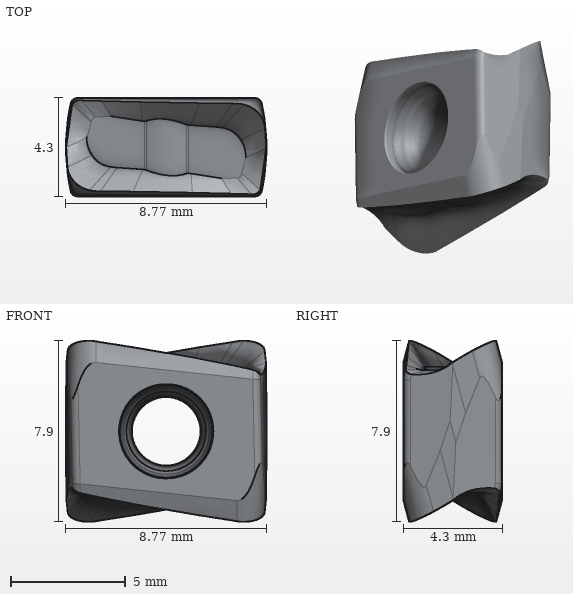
import cadquery as cq
import math


thickness = 4.3
half_thickness = thickness / 2
half_length = 4.385
blank_length = 20.0
blank_height = 10.0
blank_size = 40.0

clearance_reach = 4.413
clearance_y_slope = 0.1444
clearance_z_slope = 0.0212
wiper_y_slope = 0.045
wiper_z_slope = -0.0118
relief_reach = 4.393
relief_y_slope = 0.0554
relief_z_slope = -0.0146

flank_edge_slope = math.tan(math.radians(6.07))
flank_edge_height = 2.68
flank_relief = math.radians(15)

steep_fraction = 0.9
side_edge_radius = 0.34
leading_corner_radius = 1.2

hole_profile = [
    (2.06, half_thickness),
    (2.03, half_thickness - 0.08),
    (2.02, 1.64),
    (1.86, 1.35),
    (1.735, 1.22),
    (1.556, 0.82),
    (1.51, 0.66),
    (1.49, 0.10),
]

floor_height = 2.665
hump_half_width = 0.91
hump_rise = 0.144
hump_blend_radius = 0.33
hump_length = 2.9
hump_base = 0.5
hump_base_half_width = 1.5
cutter_overrun = 1.3
cutter_top = 6.0
rim_crest = (-3.06, 3.94)
rim_drop = 0.184
rim_bow = 0.06
rim_low_x = 3.68
end_mid_height = 3.02


def half_turn(shape, axis):
    return shape.rotate((0, 0, 0), axis, 180)


def half_space(point, normal):
    block = cq.Workplane(cq.Plane(origin=point, normal=normal))
    return block.rect(blank_size, blank_size).extrude(-blank_size)


def end_half_space(reach, y_slope, z_slope):
    """Material behind the -X end plane -x = reach + y_slope * y + z_slope * z."""
    return half_space((-reach, 0, 0), (-1, -y_slope, -z_slope))


def flank_half_space():
    """Material behind the upper flank of the -Y side."""
    normal = (
        math.sin(flank_relief) * flank_edge_slope,
        -math.cos(flank_relief),
        math.sin(flank_relief),
    )
    return half_space((0, -half_thickness, flank_edge_height), normal)


def intersect_all_turns(body, tool):
    """Intersect with a tool and its half turns about X, Y and Z."""
    body = body.intersect(tool)
    for axis in ((1, 0, 0), (0, 1, 0), (0, 0, 1)):
        body = body.intersect(half_turn(tool, axis))
    return body


def is_outer_end_edge(edge):
    """True for a steep edge at an end, off the middle plane, that is not on a leading corner."""
    center = edge.Center()
    start = edge.startPoint()
    finish = edge.endPoint()
    steep = abs(finish.z - start.z) > steep_fraction * edge.Length()
    leading = center.x * center.y * center.z > 0 and abs(center.z) > flank_edge_height
    return steep and abs(center.y) > half_thickness / 2 and not leading


def make_core():
    """Body bounded by large faces, clearance planes and flanks, with rounded end edges."""
    core = cq.Workplane().box(blank_length, thickness, blank_height)
    core = intersect_all_turns(
        core, end_half_space(clearance_reach, clearance_y_slope, clearance_z_slope)
    )
    core = intersect_all_turns(core, flank_half_space())
    outer_edges = [edge for edge in core.edges().vals() if is_outer_end_edge(edge)]
    return core.newObject(outer_edges).fillet(side_edge_radius)


def make_leading_corner():
    """Relief facet and flank of the -X, -Y, +Z corner, joined by a large rounding."""
    corner = flank_half_space().intersect(
        end_half_space(relief_reach, relief_y_slope, relief_z_slope)
    )
    near_corner = (-half_length, -half_thickness, flank_edge_height)
    return corner.edges(cq.selectors.NearestToPointSelector(near_corner)).fillet(leading_corner_radius)


def make_body():
    """Outer shape of the insert before the hole and the rake pockets."""
    body = make_core()
    body = intersect_all_turns(body, make_leading_corner())
    return intersect_all_turns(body, end_half_space(half_length, wiper_y_slope, wiper_z_slope))


def make_hole():
    """Screw hole, countersunk from both large faces."""
    side = [(radius, -distance) for radius, distance in hole_profile]
    other_side = [(radius, distance) for radius, distance in reversed(hole_profile)]
    outline = [(0, -half_thickness), *side, *other_side, (0, half_thickness)]
    return cq.Workplane("XY").polyline(outline).close().revolve(360, (0, 0, 0), (0, 1, 0))


def long_rim(x, y):
    """Point on the long cutting edge."""
    crest_x, crest_z = rim_crest
    run = x - crest_x
    rim_length = rim_low_x - crest_x
    bow = 4 * rim_bow * run * (rim_length - run) / rim_length**2
    return (x, y, crest_z - rim_drop * run + bow)


def turn_about_z(point):
    x, y, z = point
    return (-x, -y, z)


def pocket_wall_stretches():
    """Half of the pocket wall: each stretch pairs floor points (X, Y) with rim points (X, Y, Z)."""
    end_middle = (-half_length, 0, end_mid_height)
    leading_end = (-4.28, -0.84, 3.50)
    leading_tip = (-3.37, -1.89, 3.974)
    flank_start = long_rim(-2.90, -1.93)
    flank_rise = long_rim(-1.46, -1.95)
    flank_middle = long_rim(1.13, -1.98)
    flank_fall = long_rim(2.82, -2.01)
    flank_finish = long_rim(rim_low_x, -2.03)
    low_corner = (4.07, -1.85, 2.49)

    floor_end = (-3.46, 0.435)
    floor_leading_end = (-3.24, -0.33)
    floor_leading_tip = (-2.44, -0.85)
    floor_start = (-2.155, -0.885)
    floor_rise = (-1.04, -0.963)
    floor_middle = (1.07, -1.145)
    floor_fall = (2.39, -1.35)
    floor_finish = (3.09, -1.33)
    floor_low_corner = (3.27, -1.12)
    floor_far_end = (-floor_end[0], -floor_end[1])

    return [
        ([floor_end, (-3.40, -0.01), floor_leading_end],
         [end_middle, (-4.34, -0.42, 3.27), leading_end]),
        ([floor_leading_end, (-2.93, -0.66), floor_leading_tip],
         [leading_end, (-4.02, -1.42, 3.77), leading_tip]),
        ([floor_leading_tip, floor_start], [leading_tip, flank_start]),
        ([floor_start, floor_rise], [flank_start, flank_rise]),
        ([floor_rise, floor_middle], [flank_rise, flank_middle]),
        ([floor_middle, floor_fall], [flank_middle, flank_fall]),
        ([floor_fall, floor_finish], [flank_fall, flank_finish]),
        ([floor_finish, (3.21, -1.26), floor_low_corner],
         [flank_finish, (3.97, -1.98, 2.58), low_corner]),
        ([floor_low_corner, (3.34, -0.88), (3.40, -0.66), floor_far_end],
         [low_corner, (4.17, -1.20, 2.49), (4.25, -0.70, 2.60), turn_about_z(end_middle)]),
    ]


def make_curve(points):
    vectors = [cq.Vector(*point) for point in points]
    if len(vectors) == 2:
        return cq.Edge.makeLine(*vectors)
    if len(vectors) == 3:
        return cq.Edge.makeThreePointArc(*vectors)
    return cq.Edge.makeSpline(vectors)


def overrun_point(floor_point, rim_point):
    """Continue the straight wall line from the floor past the rim."""
    return tuple(f + cutter_overrun * (r - f) for f, r in zip(floor_point, rim_point))


def make_pocket_cutter():
    """Flat floor, ruled walls through the rim, then upright walls to a flat top."""
    faces = []
    floor_edges = []
    top_edges = []
    for turned in (False, True):
        for floor_points, rim_points in pocket_wall_stretches():
            floor_points = [(x, y, floor_height) for x, y in floor_points]
            if turned:
                floor_points = [turn_about_z(point) for point in floor_points]
                rim_points = [turn_about_z(point) for point in rim_points]
            outer_points = [overrun_point(f, r) for f, r in zip(floor_points, rim_points)]
            floor_edge = make_curve(floor_points)
            outer_edge = make_curve(outer_points)
            top_edge = make_curve([(x, y, cutter_top) for x, y, z in outer_points])
            faces.append(cq.Face.makeRuledSurface(floor_edge, outer_edge))
            faces.append(cq.Face.makeRuledSurface(outer_edge, top_edge))
            floor_edges.append(floor_edge)
            top_edges.append(top_edge)
    for edges in (floor_edges, top_edges):
        faces.append(cq.Face.makeFromWires(cq.Wire.assembleEdges(edges)))
    return cq.Workplane(cq.Solid.makeSolid(cq.Shell.makeShell(faces)))


def make_hump():
    """Low rounded ridge across the pocket floor, blended into the floor on both sides."""
    base_height = floor_height - hump_base
    profile = (
        cq.Workplane("XZ", origin=(0, hump_length / 2, 0))
        .moveTo(-hump_base_half_width, base_height)
        .lineTo(-hump_base_half_width, floor_height)
        .lineTo(-hump_half_width, floor_height)
        .threePointArc((0, floor_height + hump_rise), (hump_half_width, floor_height))
        .lineTo(hump_base_half_width, floor_height)
        .lineTo(hump_base_half_width, base_height)
        .close()
    )
    hump = profile.extrude(hump_length)
    for side in (-1, 1):
        foot = cq.selectors.NearestToPointSelector((side * hump_half_width, 0, floor_height))
        hump = hump.edges("|Y").edges(foot).fillet(hump_blend_radius)
    return hump


pocket = make_pocket_cutter().cut(make_hump())
result = make_body().cut(make_hole()).cut(pocket).cut(half_turn(pocket, (1, 0, 0)))